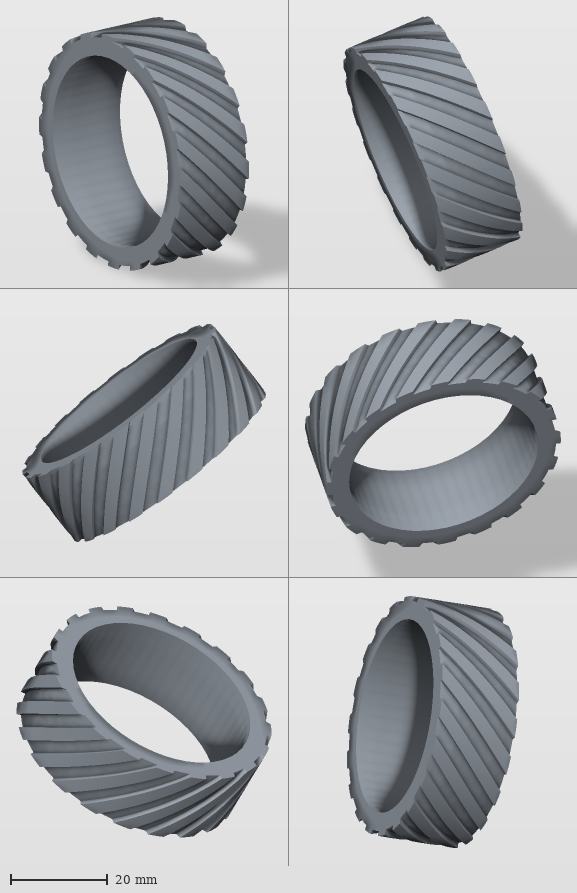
import cadquery as cq
import math

outer_diameter = 50.0
bore_diameter = 40.4
ring_width = 17.2

groove_count = 20
mouth_twist = 40.0
floor_twist = 41.5
section_count = 5
groove_depth = 1.0
cutter_overshoot = 0.5

floor_start_angle = 1.5
floor_end_angle = 10.3
mouth_start_angle = 2.0
mouth_end_angle = 11.3

outer_radius = outer_diameter / 2
floor_radius = outer_radius - groove_depth
groove_pitch = 360.0 / groove_count


def polar_point(radius, clockwise_angle):
    angle = math.radians(clockwise_angle)
    return (radius * math.sin(angle), radius * math.cos(angle))


def extended_wall(floor_angle, mouth_angle):
    """End of a groove wall, continued beyond the outer surface along its slope."""
    reach = (groove_depth + cutter_overshoot) / groove_depth
    angle = floor_angle + (mouth_angle - floor_angle) * reach
    return polar_point(outer_radius + cutter_overshoot, angle)


def make_ring():
    return cq.Workplane("XY").circle(outer_radius).circle(bore_diameter / 2).extrude(ring_width)


def make_groove_section(back_fraction):
    """Slot outline at a fraction of the width, from 0 on the front face to 1 on the back."""
    floor_turn = floor_twist * back_fraction
    mouth_turn = mouth_twist * back_fraction
    floor_start = floor_start_angle + floor_turn
    floor_end = floor_end_angle + floor_turn
    mouth_start = mouth_start_angle + mouth_turn
    mouth_end = mouth_end_angle + mouth_turn
    return (
        cq.Workplane("XY", origin=(0, 0, ring_width * (1 - back_fraction)))
        .moveTo(*polar_point(floor_radius, floor_start))
        .threePointArc(
            polar_point(floor_radius, (floor_start + floor_end) / 2),
            polar_point(floor_radius, floor_end),
        )
        .lineTo(*extended_wall(floor_end, mouth_end))
        .lineTo(*extended_wall(floor_start, mouth_start))
        .close()
        .val()
    )


def make_groove_cutter():
    """Smooth loft through slot sections that turn clockwise from front to back."""
    sections = [make_groove_section(i / (section_count - 1)) for i in range(section_count)]
    return cq.Workplane(cq.Solid.makeLoft(sections))


ring = make_ring()
groove_cutter = make_groove_cutter()
for index in range(groove_count):
    ring = ring.cut(groove_cutter.rotate((0, 0, 0), (0, 0, 1), index * groove_pitch))

result = ring.rotate((0, 0, 0), (1, 0, 0), 90).translate((0, ring_width / 2, 0))